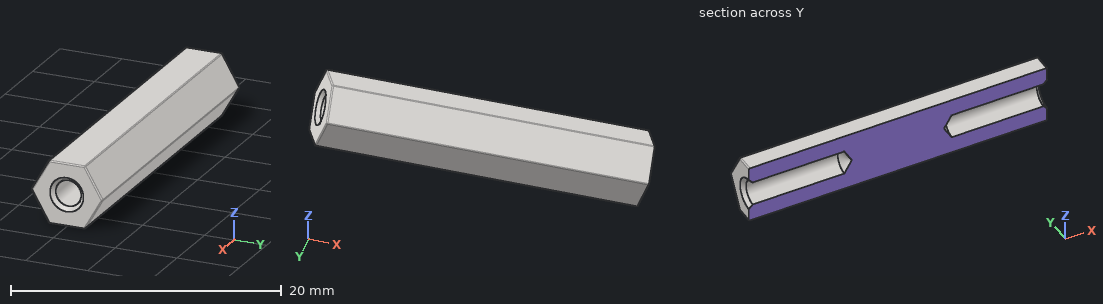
import cadquery as cq
import math

length = 25.0
across_flats = 5.0
edge_radius = 0.1

hole_diameter = 2.05
hole_depth = 8.0
drill_point_angle = 118.0
countersink_diameter = 2.7
countersink_angle = 90.0

across_corners = across_flats / math.cos(math.radians(30))
hole_radius = hole_diameter / 2
countersink_radius = countersink_diameter / 2


def cone_height(radius_change, included_angle):
    """Axial length over which a cone's radius changes by the given amount."""
    return radius_change / math.tan(math.radians(included_angle / 2))


def hex_body():
    """Hexagonal bar with flats at the top and bottom and every edge rounded."""
    bar = (
        cq.Workplane("YZ")
        .polygon(6, across_corners)
        .extrude(length / 2, both=True)
    )
    return bar.edges().fillet(edge_radius)


def end_hole():
    """Cutter for the countersunk, cone-bottomed hole in the -X end."""
    mouth = -length / 2
    countersink_depth = cone_height(countersink_radius - hole_radius, countersink_angle)
    tip_depth = hole_depth + cone_height(hole_radius, drill_point_angle)
    return (
        cq.Workplane("XY")
        .moveTo(mouth, 0)
        .lineTo(mouth, countersink_radius)
        .lineTo(mouth + countersink_depth, hole_radius)
        .lineTo(mouth + hole_depth, hole_radius)
        .lineTo(mouth + tip_depth, 0)
        .close()
        .revolve(360, (0, 0, 0), (1, 0, 0))
    )


near_hole = end_hole()
far_hole = near_hole.mirror("YZ")
result = hex_body().cut(near_hole).cut(far_hole)